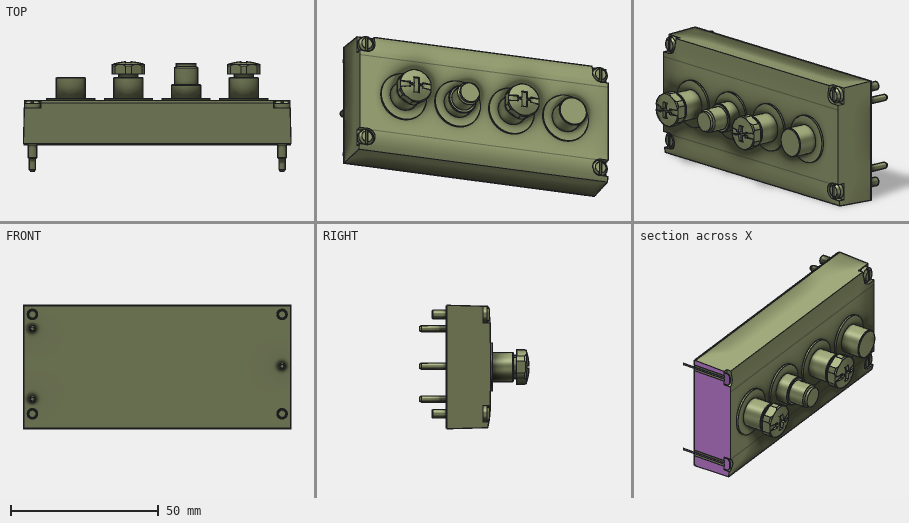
import cadquery as cq
import math

LENGTH = 90.5
HEIGHT = 41.8
DEPTH = 15.0
DRAFT_ANGLE = 1.5
FRONT_STEP_DEPTH = 0.45
FRONT_STEP_INSET = 0.3
CROWN_WIDTH = 7.6
CROWN_DROP = 1.0

SCREW_SPACING_X = 84.35
SCREW_SPACING_Z = 33.6
SCREW_MID_Z = 1.0
SHANK_DIAMETER = 3.0
SHANK_HOLE_DIAMETER = 3.5
SHANK_END_Y = -4.6
SHANK_CHAMFER = 0.3
HEAD_DIAMETER = 5.4
HEAD_POCKET_DIAMETER = 5.7
HEAD_SEAT_Y = 12.5
HEAD_TOP_Y = 14.75
HEAD_CHAMFER = 0.8
HEAD_SLOT_WIDTH = 0.8
HEAD_SLOT_FLOOR_Y = 14.2

PIN_BASE_DIAMETER = 2.3
PIN_END_DIAMETER = 2.2
PIN_TIP_DIAMETER = 1.3
PIN_END_Y = -9.0
PIN_TIP_LENGTH = 0.7
LEFT_PIN_HEIGHTS = (12.9, -10.9)
RIGHT_PIN_HEIGHT = 0.3

CONNECTOR_SPAN = 58.5
FLANGE_DIAMETER = 16.3
FLANGE_TOP_Y = 15.75
SOCKET_DIAMETER = 10.0
SOCKET_TOP_Y = 22.8
SOCKET_CHAMFER = 0.3
PLUG_BASE_TOP_Y = 20.4
PLUG_DIAMETER = 8.0
PLUG_SHOULDER_Y = 26.0
PLUG_NOSE_DIAMETER = 6.8
PLUG_NOSE_Y = 26.4
PLUG_TOP_Y = 27.4

NECK_DIAMETER = 6.6
KNOB_DIAMETER = 11.8
KNOB_ACROSS_FLATS = 11.0
KNOB_BOTTOM_Y = 23.9
CAP_TOP_Y = 28.15
DOME_RADIUS = 16.3
KNOB_RIM_WIDTH = 0.3
KNOB_RIM_HEIGHT = 0.5
NARROW_SLOT_WIDTH = 0.8
WIDE_SLOT_WIDTH = 1.9
WIDE_END_LENGTH = 3.6
UPRIGHT_SLOT_LENGTH = 5.4
SLOT_FLOOR_Y = 27.0

CONNECTOR_X = [CONNECTOR_SPAN * (i / 3 - 0.5) for i in range(4)]
CAPPED_X = (CONNECTOR_X[1], CONNECTOR_X[3])
SCREW_POSITIONS = [
    (side * SCREW_SPACING_X / 2, SCREW_MID_Z + level * SCREW_SPACING_Z / 2)
    for side in (-1, 1)
    for level in (-1, 1)
]


def y_plane(y):
    """Sketch plane at the given Y, local axes along +X and +Z, so positive extrusions run towards -Y."""
    return cq.Workplane("XZ", origin=(0, y, 0))


def cylinder(x, z, y_start, y_end, diameter):
    return y_plane(y_end).center(x, z).circle(diameter / 2).extrude(y_end - y_start)


def box(x_range, y_range, z_range):
    size = [end - start for start, end in (x_range, y_range, z_range)]
    corner = (x_range[0], y_range[0], z_range[0])
    return cq.Workplane("XY").box(*size, centered=False).translate(corner)


def turned(profile, x, z):
    """Revolve a closed (radius, Y) profile about its Y axis and move it to (x, z)."""
    return profile.close().revolve(360, (0, 0), (0, 1)).translate((x, 0, z))


def housing_block():
    block = (
        y_plane(FRONT_STEP_DEPTH)
        .rect(LENGTH, HEIGHT)
        .extrude(FRONT_STEP_DEPTH - DEPTH, taper=DRAFT_ANGLE)
    )
    panel = (
        y_plane(FRONT_STEP_DEPTH)
        .rect(LENGTH - 2 * FRONT_STEP_INSET, HEIGHT - 2 * FRONT_STEP_INSET)
        .extrude(FRONT_STEP_DEPTH)
    )
    flat_half = HEIGHT / 2 - CROWN_WIDTH
    crown_radius = (CROWN_WIDTH**2 + CROWN_DROP**2) / (2 * CROWN_DROP)
    mid_drop = crown_radius - math.sqrt(crown_radius**2 - (CROWN_WIDTH / 2) ** 2)
    edge_z = HEIGHT / 2
    edge_y = DEPTH - CROWN_DROP
    crowned = (
        cq.Workplane("YZ", origin=(-LENGTH / 2, 0, 0))
        .moveTo(0, -edge_z)
        .lineTo(edge_y, -edge_z)
        .threePointArc((DEPTH - mid_drop, -flat_half - CROWN_WIDTH / 2), (DEPTH, -flat_half))
        .lineTo(DEPTH, flat_half)
        .threePointArc((DEPTH - mid_drop, flat_half + CROWN_WIDTH / 2), (edge_y, edge_z))
        .lineTo(0, edge_z)
        .close()
        .extrude(LENGTH)
    )
    return block.union(panel).intersect(crowned)


def screw_pocket(x, z):
    """Clearance hole and head pocket; the pocket runs out of the near end and, for the upper row, the top."""
    radius = HEAD_POCKET_DIAMETER / 2
    depth_range = (HEAD_SEAT_Y, DEPTH)
    end_x = math.copysign(LENGTH / 2, x)
    end_slot = box(sorted((x, end_x)), depth_range, (z - radius, z + radius))
    pocket = (
        cylinder(x, z, 0, DEPTH, SHANK_HOLE_DIAMETER)
        .union(cylinder(x, z, *depth_range, HEAD_POCKET_DIAMETER))
        .union(end_slot)
    )
    if z > SCREW_MID_Z:
        inner_x = x - math.copysign(radius, x)
        pocket = pocket.union(box(sorted((inner_x, end_x)), depth_range, (z, HEIGHT / 2)))
    return pocket


def pin(x, z):
    profile = (
        cq.Workplane("XY")
        .lineTo(PIN_BASE_DIAMETER / 2, 0)
        .lineTo(PIN_END_DIAMETER / 2, PIN_END_Y + PIN_TIP_LENGTH)
        .lineTo(PIN_TIP_DIAMETER / 2, PIN_END_Y)
        .lineTo(0, PIN_END_Y)
    )
    return turned(profile, x, z)


def connector_base(x, top_y):
    flange = cylinder(x, 0, DEPTH, FLANGE_TOP_Y, FLANGE_DIAMETER)
    barrel = cylinder(x, 0, DEPTH, top_y, SOCKET_DIAMETER).faces(">Y").chamfer(SOCKET_CHAMFER)
    return flange.union(barrel)


def plug_nose(x):
    profile = (
        cq.Workplane("XY")
        .moveTo(0, PLUG_BASE_TOP_Y)
        .lineTo(PLUG_DIAMETER / 2, PLUG_BASE_TOP_Y)
        .lineTo(PLUG_DIAMETER / 2, PLUG_SHOULDER_Y)
        .lineTo(PLUG_NOSE_DIAMETER / 2, PLUG_NOSE_Y)
        .lineTo(PLUG_NOSE_DIAMETER / 2, PLUG_TOP_Y)
        .lineTo(0, PLUG_TOP_Y)
    )
    return turned(profile, x, 0)


def make_housing():
    body = housing_block()
    for x, z in SCREW_POSITIONS:
        body = body.cut(screw_pocket(x, z))
    for z in LEFT_PIN_HEIGHTS:
        body = body.union(pin(-SCREW_SPACING_X / 2, z))
    body = body.union(pin(SCREW_SPACING_X / 2, RIGHT_PIN_HEIGHT))
    socket_x, plug_x = CONNECTOR_X[0], CONNECTOR_X[2]
    for x in (socket_x, *CAPPED_X):
        body = body.union(connector_base(x, SOCKET_TOP_Y))
    return body.union(connector_base(plug_x, PLUG_BASE_TOP_Y)).union(plug_nose(plug_x))


def make_screw(x, z):
    shank = SHANK_DIAMETER / 2
    head = HEAD_DIAMETER / 2
    profile = (
        cq.Workplane("XY")
        .moveTo(0, SHANK_END_Y)
        .lineTo(shank - SHANK_CHAMFER, SHANK_END_Y)
        .lineTo(shank, SHANK_END_Y + SHANK_CHAMFER)
        .lineTo(shank, HEAD_SEAT_Y)
        .lineTo(head, HEAD_SEAT_Y)
        .lineTo(head, HEAD_TOP_Y - HEAD_CHAMFER)
        .lineTo(head - HEAD_CHAMFER, HEAD_TOP_Y)
        .lineTo(0, HEAD_TOP_Y)
    )
    half_slot = HEAD_SLOT_WIDTH / 2
    slot = box(
        (x - half_slot, x + half_slot),
        (HEAD_SLOT_FLOOR_Y, HEAD_TOP_Y),
        (z - head, z + head),
    )
    return turned(profile, x, z).cut(slot)


def dome_y(radius):
    return CAP_TOP_Y - DOME_RADIUS + math.sqrt(DOME_RADIUS**2 - radius**2)


def make_cap(x):
    rim = KNOB_DIAMETER / 2
    dome_edge = rim - KNOB_RIM_WIDTH
    profile = (
        cq.Workplane("XY")
        .moveTo(0, KNOB_BOTTOM_Y)
        .lineTo(rim, KNOB_BOTTOM_Y)
        .lineTo(rim, dome_y(dome_edge) - KNOB_RIM_HEIGHT)
        .lineTo(dome_edge, dome_y(dome_edge))
        .threePointArc((dome_edge / 2, dome_y(dome_edge / 2)), (0, CAP_TOP_Y))
    )
    knob = turned(profile, 0, 0)
    across_corners = KNOB_ACROSS_FLATS / math.cos(math.pi / 6)
    grip = (
        y_plane(CAP_TOP_Y)
        .transformed(rotate=(0, 0, 30))
        .polygon(6, across_corners)
        .extrude(CAP_TOP_Y - KNOB_BOTTOM_Y)
    )
    knob = knob.intersect(grip)

    slot_range = (SLOT_FLOOR_Y, CAP_TOP_Y)
    narrow_range = (-NARROW_SLOT_WIDTH / 2, NARROW_SLOT_WIDTH / 2)
    wide_range = (-WIDE_SLOT_WIDTH / 2, WIDE_SLOT_WIDTH / 2)
    upright_range = (-UPRIGHT_SLOT_LENGTH / 2, UPRIGHT_SLOT_LENGTH / 2)
    knob = knob.cut(box((-rim, rim), slot_range, narrow_range))
    knob = knob.cut(box(wide_range, slot_range, upright_range))
    for start in (-rim, rim - WIDE_END_LENGTH):
        knob = knob.cut(box((start, start + WIDE_END_LENGTH), slot_range, wide_range))

    neck = cylinder(0, 0, SOCKET_TOP_Y, KNOB_BOTTOM_Y, NECK_DIAMETER)
    return knob.union(neck).translate((x, 0, 0))


housing = make_housing()
screws = [make_screw(x, z) for x, z in SCREW_POSITIONS]
caps = [make_cap(x) for x in CAPPED_X]

result = cq.Compound.makeCompound(
    [housing.val(), *[screw.val() for screw in screws], *[cap.val() for cap in caps]]
)